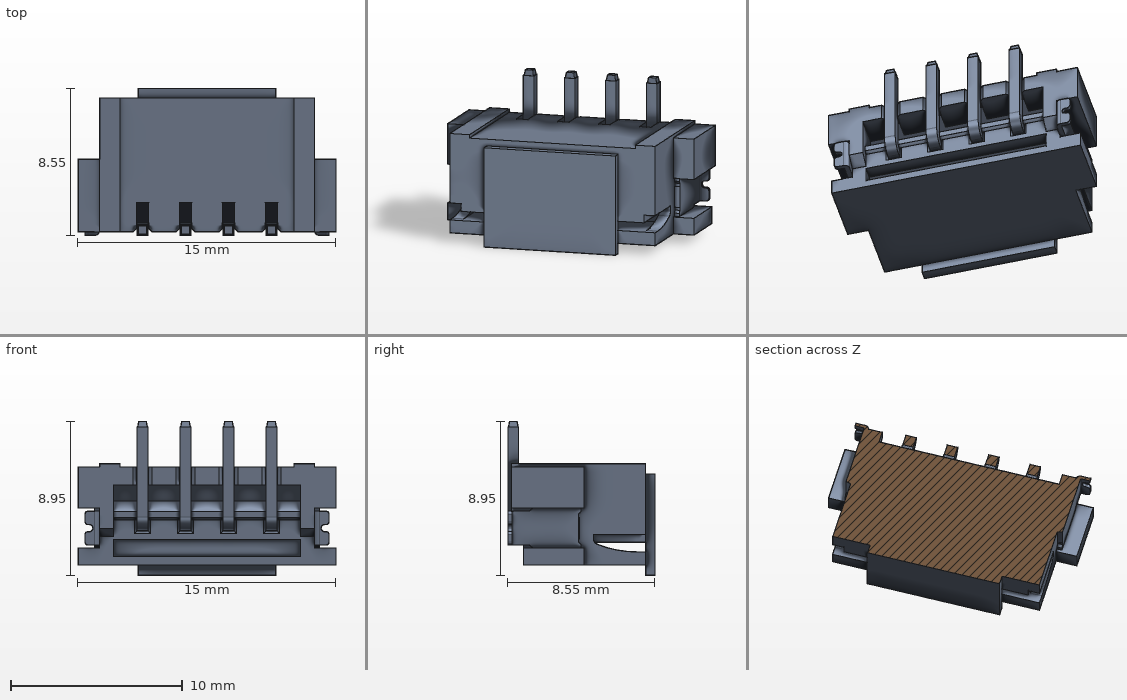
import cadquery as cq


body_half_width = 6.25
body_depth = 7.8
body_height = 5.7
rib_width = 1.2
rib_height = 0.2
lower_front = 0.7
chin_top = 2.13
chin_bottom = 1.66

ear_half_width = 7.5
ear_back = 4.23
lower_ear_top = 1.0
upper_ear_bottom = 3.3

cover_half_width = 4.0
cover_thickness = 0.55
cover_bottom = -0.6
cover_top = 5.3

recess_half_width = 5.43
recess_back = 1.7
recess_top = 4.64
nose_front = 0.52
nose_slope_top = 3.73
nose_top = 3.12
nose_bottom = 2.75
nose_root = 2.63

slot_bottom = 0.49
slot_top = 1.48
slot_depth = 0.75

pin_count = 4
pin_pitch = 2.5
pin_width = 0.65
pin_depth = 0.62
pin_front = -0.2
pin_bottom = 2.0
pin_top = 8.35
pin_embed = 1.5
bend_outer_radius = 0.8
bend_inner_radius = bend_outer_radius - pin_depth
tip_height = 0.32
tip_base_size = 0.57
tip_end_size = 0.45

notch_half_width = 0.35
notch_mouth_half_width = 0.55
notch_flare_depth = 0.2
funnel_half_width = 0.47
funnel_bottom = 1.84
funnel_depth = 0.15

opening_bottom = 0.77
opening_top = 1.78
opening_front = 4.77
opening_flat_front = 7.28
opening_corner_y = 4.99
opening_corner_z = 1.21
opening_wall_bottom = 1.53
side_wall = 0.68
gap_top = 1.32

clip_thickness = 0.3
clip_back = 3.89
clip_wing_back = 4.04
wing_inner_height = 0.35
wing_outer_height = 0.2
clip_front = -0.2
barb_length = 0.08
barb_bottom = 1.52
barb_top = 2.76
tab_outer = 7.1
tab_top = 3.13
tab_bottom = 1.155
tab_thickness = 0.22
tab_corner_radius = 0.18
tab_notch_width = 0.4
tab_notch_depth = 0.46
near_full_round = 0.99
clip_bend_radius = 0.28
clip_inner_bend_radius = 0.06
clip_neck_end = 1.04
clip_shoulder = 1.24


def box(x_range, y_range, z_range):
    """Axis-aligned box between pairs of limits."""
    spans = [high - low for low, high in (x_range, y_range, z_range)]
    corner = (x_range[0], y_range[0], z_range[0])
    return cq.Workplane("XY").box(*spans, centered=False).translate(corner)


def along_x(outline, half_width):
    """Closed YZ outline extruded symmetrically about X = 0."""
    return outline.close().extrude(half_width, both=True)


def yz_polygon(points, half_width):
    return along_x(cq.Workplane("YZ").polyline(points), half_width)


def both_sides(shape):
    """The shape together with its mirror image across X = 0."""
    return shape.union(shape.mirror("YZ"))


def make_housing():
    housing = yz_polygon(
        [
            (lower_front, 0),
            (body_depth, 0),
            (body_depth, body_height),
            (0, body_height),
            (0, chin_top),
            (lower_front, chin_bottom),
        ],
        body_half_width,
    )
    rib = box(
        (-body_half_width, -body_half_width + rib_width),
        (0, body_depth),
        (body_height, body_height + rib_height),
    )
    ear_x = (-ear_half_width, -body_half_width)
    upper_ear = box(ear_x, (0, ear_back), (upper_ear_bottom, body_height))
    lower_ear = box(ear_x, (lower_front, ear_back), (0, lower_ear_top))
    cover = box(
        (-cover_half_width, cover_half_width),
        (body_depth, body_depth + cover_thickness),
        (cover_bottom, cover_top),
    )
    for side_part in (rib, upper_ear, lower_ear):
        housing = housing.union(both_sides(side_part))
    return housing.union(cover)


def make_front_recess():
    return yz_polygon(
        [
            (0, recess_top),
            (recess_back, recess_top),
            (recess_back, nose_slope_top),
            (nose_front, nose_top),
            (nose_front, nose_bottom),
            (lower_front, nose_root),
            (lower_front, chin_bottom),
            (0, chin_bottom),
        ],
        recess_half_width,
    )


def make_long_slot():
    return box(
        (-recess_half_width, recess_half_width),
        (lower_front, lower_front + slot_depth),
        (slot_bottom, slot_top),
    )


def make_pin_notch():
    """Notch through the top wall, flared at the front."""
    return (
        cq.Workplane("XY")
        .workplane(offset=recess_top)
        .polyline(
            [
                (-notch_mouth_half_width, 0),
                (-notch_half_width, notch_flare_depth),
                (-notch_half_width, recess_back),
                (notch_half_width, recess_back),
                (notch_half_width, notch_flare_depth),
                (notch_mouth_half_width, 0),
            ]
        )
        .close()
        .extrude(body_height - recess_top)
    )


def make_pin_funnel():
    """Tapered lead-in around the horizontal leg of a pin."""
    inner_half_width = funnel_half_width - funnel_depth
    inner_bottom = funnel_bottom + funnel_depth
    back = lower_front + funnel_depth

    def ring(y, half_width, bottom):
        corners = [
            (-half_width, y, bottom),
            (half_width, y, bottom),
            (half_width, y, nose_root),
            (-half_width, y, nose_root),
        ]
        return cq.Wire.makePolygon([cq.Vector(*c) for c in corners], close=True)

    mouth = ring(lower_front, funnel_half_width, funnel_bottom)
    throat = ring(back, inner_half_width, inner_bottom)
    return cq.Workplane(cq.Solid.makeLoft([mouth, throat], True))


def make_pin():
    """Pin bent from a horizontal leg into an upright post."""
    pin_back = pin_front + pin_depth
    leg_top = pin_bottom + pin_depth
    shaft_top = pin_top - tip_height
    bend_y = pin_front + bend_outer_radius
    bend_z = pin_bottom + bend_outer_radius
    diagonal = 0.5 ** 0.5
    outer_offset = bend_outer_radius * diagonal
    inner_offset = bend_inner_radius * diagonal
    outline = (
        cq.Workplane("YZ")
        .moveTo(pin_embed, pin_bottom)
        .lineTo(bend_y, pin_bottom)
        .threePointArc((bend_y - outer_offset, bend_z - outer_offset), (pin_front, bend_z))
        .lineTo(pin_front, shaft_top)
        .lineTo(pin_back, shaft_top)
        .lineTo(pin_back, bend_z)
        .threePointArc((bend_y - inner_offset, bend_z - inner_offset), (bend_y, leg_top))
        .lineTo(pin_embed, leg_top)
    )
    tip = (
        cq.Workplane("XY")
        .workplane(offset=shaft_top)
        .center(0, pin_front + pin_depth / 2)
        .rect(tip_base_size, tip_base_size)
        .workplane(offset=tip_height)
        .rect(tip_end_size, tip_end_size)
        .loft(ruled=True)
    )
    return along_x(outline, pin_width / 2).union(tip)


def make_rear_openings():
    """Curved openings in both side walls, joined by a lower gap."""
    opening_outline = (
        cq.Workplane("YZ")
        .moveTo(body_depth, opening_bottom)
        .lineTo(opening_flat_front, opening_bottom)
        .tangentArcPoint((opening_corner_y, opening_corner_z), relative=False)
        .tangentArcPoint((opening_front, opening_wall_bottom), relative=False)
        .lineTo(opening_front, opening_top)
        .lineTo(body_depth, opening_top)
    )
    inner_half_width = body_half_width - side_wall
    inner = box(
        (-inner_half_width, inner_half_width),
        (opening_front, body_depth),
        (opening_bottom, opening_top),
    )
    gap = box(
        (-inner_half_width, inner_half_width),
        (opening_front, body_depth),
        (opening_bottom, gap_top),
    )
    return along_x(opening_outline, body_half_width).cut(inner).union(gap)


def make_clip():
    """Solder clip on the -X side: upright plate bent outward into a tab."""
    plate_outer = body_half_width + clip_thickness
    middle = (tab_top + tab_bottom) / 2
    footprint = (
        cq.Workplane("XY")
        .polyline(
            [
                (-body_half_width, clip_front),
                (-tab_outer, clip_front),
                (-tab_outer, clip_front + tab_thickness),
                (-plate_outer, clip_front + tab_thickness),
                (-plate_outer, clip_wing_back),
                (-body_half_width, clip_wing_back),
            ]
        )
        .close()
        .extrude(upper_ear_bottom)
        .edges("|Z and >X and <Y")
        .fillet(clip_bend_radius)
    )
    inner_bend = cq.selectors.NearestToPointSelector(
        (-plate_outer, clip_front + tab_thickness, upper_ear_bottom / 2)
    )
    footprint = footprint.edges("|Z").edges(inner_bend).fillet(clip_inner_bend_radius)
    barb = (
        cq.Workplane("XY")
        .workplane(offset=barb_bottom)
        .polyline(
            [
                (-plate_outer, clip_back),
                (-body_half_width, clip_back + barb_length),
                (-body_half_width, clip_back),
            ]
        )
        .close()
        .extrude(barb_top - barb_bottom)
    )
    side_outline = (
        cq.Workplane("YZ")
        .moveTo(clip_front, tab_bottom)
        .lineTo(clip_neck_end, tab_bottom)
        .lineTo(clip_shoulder, lower_ear_top)
        .lineTo(clip_wing_back, lower_ear_top)
        .lineTo(clip_wing_back, lower_ear_top + wing_outer_height)
        .lineTo(clip_back, lower_ear_top + wing_inner_height)
        .lineTo(clip_back, upper_ear_bottom - wing_inner_height)
        .lineTo(clip_wing_back, upper_ear_bottom - wing_outer_height)
        .lineTo(clip_wing_back, upper_ear_bottom)
        .lineTo(clip_shoulder, upper_ear_bottom)
        .lineTo(clip_neck_end, tab_top)
        .lineTo(clip_front, tab_top)
    )
    clip = footprint.intersect(along_x(side_outline, ear_half_width)).union(barb)
    notch_radius = tab_notch_width / 2
    notch_end = -tab_outer + tab_notch_depth
    notch = box(
        (-tab_outer, notch_end),
        (clip_front, clip_front + tab_thickness),
        (middle - notch_radius, middle + notch_radius),
    )
    notch = notch.edges("|Y and >X").fillet(notch_radius * near_full_round)
    return clip.cut(notch).edges("|Y and <X").fillet(tab_corner_radius)


housing = make_housing()
for cutter in (make_front_recess(), make_long_slot(), make_rear_openings()):
    housing = housing.cut(cutter)

pin_positions = [(i - (pin_count - 1) / 2) * pin_pitch for i in range(pin_count)]
for x in pin_positions:
    housing = housing.cut(make_pin_notch().translate((x, 0, 0)))
    housing = housing.cut(make_pin_funnel().translate((x, 0, 0)))
    housing = housing.union(make_pin().translate((x, 0, 0)))

result = housing.union(both_sides(make_clip()))